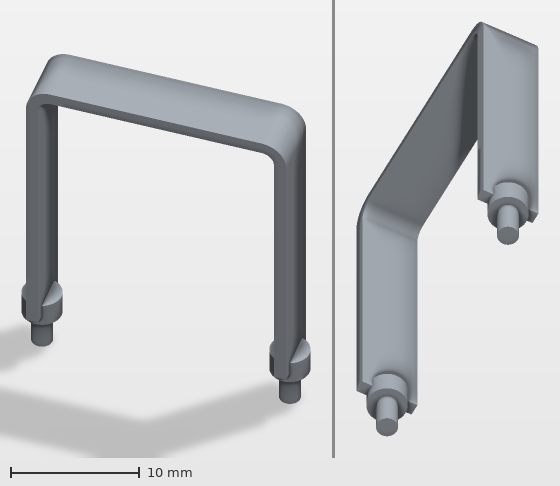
import cadquery as cq

strap_width = 4.8
strap_thickness = 1.0
bend_outer_radius = 2.0
bend_inner_radius = bend_outer_radius - strap_thickness

foot_spacing = 20.3
pin_diameter = 1.7
pin_length = 3.0
collar_diameter = 3.2
collar_height = 2.0
leg_insertion = 1.0

total_height = 28.4
collar_top = pin_length + collar_height
leg_bottom = collar_top - leg_insertion

outer_span = foot_spacing + strap_thickness
inner_span = foot_spacing - strap_thickness


def arch_block(span, top, bend_radius):
    """Upright block across the strap width with its two top edges rounded."""
    return (
        cq.Workplane("XY")
        .workplane(offset=leg_bottom)
        .rect(span, strap_width)
        .extrude(top - leg_bottom)
        .edges("|Y and >Z")
        .fillet(bend_radius)
    )


def make_strap():
    outer = arch_block(outer_span, total_height, bend_outer_radius)
    inner = arch_block(inner_span, total_height - strap_thickness, bend_inner_radius)
    return outer.cut(inner)


def make_foot(x):
    """Pin and collar on a vertical axis at the given X."""
    pin = cq.Workplane("XY").center(x, 0).circle(pin_diameter / 2).extrude(pin_length)
    collar = (
        cq.Workplane("XY")
        .workplane(offset=pin_length)
        .center(x, 0)
        .circle(collar_diameter / 2)
        .extrude(collar_height)
    )
    return pin.union(collar)


result = make_strap()
for side in (-1, 1):
    result = result.union(make_foot(side * foot_spacing / 2))